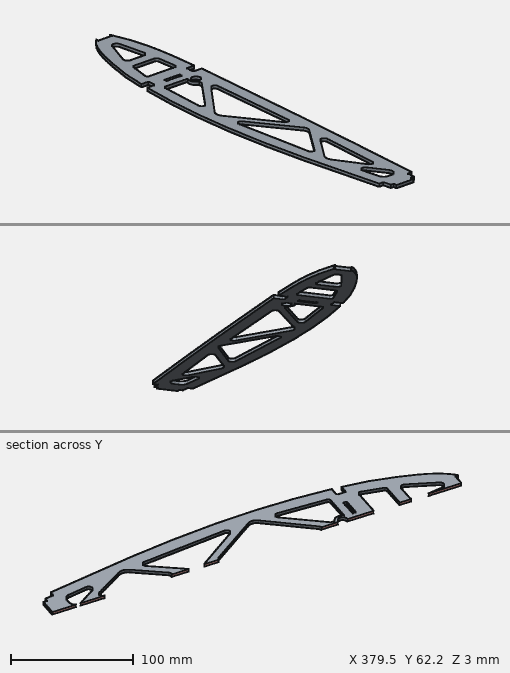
import cadquery as cq
import math

LENGTH = 379.5
HEIGHT = 62.2
THICKNESS = 3.0

NOSE_X = 2.5
NOSE_LIP_TOP = 49.7
NOSE_TOP = 50.5
NOSE_LIP_BOTTOM = 35.0
NOSE_BOTTOM = 32.3

NOTCH_LEFT = 91.5
NOTCH_RIGHT = 100.0
UPPER_NOTCH_FLOOR = 53.0
LOWER_NOTCH_FLOOR = 12.0
NOTCH_RADIUS = 1.5

TAIL_STEP_X = 368.0
TAIL_TAB_X = 376.0
TAIL_TOP = 56.5
TAIL_BOTTOM = 21.3
TAIL_STEP_TOP = 52.0
TAIL_STEP_BOTTOM = 25.8
TAIL_TAB_TOP = 48.5
TAIL_TAB_BOTTOM = 30.0
TAIL_SLOPE_RISE = 1.0

UPPER_NOSE = [(NOSE_X, NOSE_TOP), (22.5, 56.0), (48.5, 60.0), (NOTCH_LEFT, 61.5)]
UPPER_BODY = [(NOTCH_RIGHT, HEIGHT), (212.5, 60.7), (TAIL_STEP_X, TAIL_TOP)]
LOWER_NOSE = [(NOSE_X, NOSE_BOTTOM), (19.0, 22.5), (33.8, 17.0), (57.5, 10.2), (NOTCH_LEFT, 4.5)]
LOWER_BODY = [(NOTCH_RIGHT, 3.5), (161.3, 0.0), (208.7, 1.0), (299.5, 10.5), (TAIL_STEP_X, TAIL_BOTTOM)]

HOLE_CENTER = (112.0, 45.5)
HOLE_RADIUS = 4.0
HOLE_WALL = 2.5

SLOT_LEFT = 97.0
SLOT_RIGHT = 100.2
SLOT_BOTTOM = 24.3
SLOT_TOP = 40.5

NOSE_WINDOW = [(5.5, 41.7, 3.8), (49.5, 48.0, 3.8), (49.5, 23.5, 3.8)]
FRONT_WINDOW = [(59.5, 48.5, 2.3), (83.5, 49.7, 2.3), (83.5, 17.0, 2.3), (59.5, 22.5, 2.3)]
HOLE_WINDOW = [(107.8, 43.3, 0), (122.0, 43.3, 2.3), (164.5, 11.5, 3.0), (107.8, 14.5, 2.3)]
TRUSS_WINDOWS = [
    [(125.5, 49.5, 3.0), (232.5, 48.5, 3.0), (177.2, 10.0, 7.5)],
    [(192.0, 11.8, 3.0), (246.7, 50.5, 6.5), (289.5, 21.0, 3.0)],
    [(262.3, 48.2, 3.0), (341.5, 45.0, 3.0), (301.7, 20.5, 8.5)],
]
TAIL_WINDOW = [(323.7, 25.8, 3.5), (361.5, 51.0, 5.7), (361.5, 32.0, 5.7)]


def make_profile():
    """Outer profile of the rib, drawn clockwise from the upper nose lip."""
    return (
        cq.Workplane("XY")
        .moveTo(0, NOSE_LIP_TOP)
        .lineTo(*UPPER_NOSE[0])
        .spline(UPPER_NOSE[1:], includeCurrent=True)
        .lineTo(NOTCH_LEFT, UPPER_NOTCH_FLOOR)
        .lineTo(NOTCH_RIGHT - NOTCH_RADIUS, UPPER_NOTCH_FLOOR)
        .radiusArc((NOTCH_RIGHT, UPPER_NOTCH_FLOOR + NOTCH_RADIUS), -NOTCH_RADIUS)
        .lineTo(*UPPER_BODY[0])
        .spline(UPPER_BODY[1:], includeCurrent=True)
        .lineTo(TAIL_STEP_X, TAIL_STEP_TOP)
        .lineTo(TAIL_TAB_X, TAIL_STEP_TOP)
        .lineTo(TAIL_TAB_X, TAIL_TAB_TOP)
        .lineTo(LENGTH, TAIL_TAB_TOP)
        .lineTo(LENGTH, TAIL_TAB_BOTTOM)
        .lineTo(TAIL_TAB_X, TAIL_TAB_BOTTOM)
        .lineTo(TAIL_TAB_X, TAIL_STEP_BOTTOM + TAIL_SLOPE_RISE)
        .lineTo(TAIL_STEP_X, TAIL_STEP_BOTTOM)
        .lineTo(*LOWER_BODY[-1])
        .spline(LOWER_BODY[-2::-1], includeCurrent=True)
        .lineTo(NOTCH_RIGHT, LOWER_NOTCH_FLOOR - NOTCH_RADIUS)
        .radiusArc((NOTCH_RIGHT - NOTCH_RADIUS, LOWER_NOTCH_FLOOR), -NOTCH_RADIUS)
        .lineTo(NOTCH_LEFT, LOWER_NOTCH_FLOOR)
        .lineTo(*LOWER_NOSE[-1])
        .spline(LOWER_NOSE[-2::-1], includeCurrent=True)
        .lineTo(0, NOSE_LIP_BOTTOM)
        .lineTo(NOSE_X, NOSE_LIP_BOTTOM)
        .lineTo(NOSE_X, NOSE_LIP_TOP)
        .close()
        .extrude(THICKNESS)
    )


def rounded_corner(previous, corner, following):
    """Start, middle and end of the arc that rounds one corner."""
    x, y, radius = corner
    to_previous = math.atan2(previous[1] - y, previous[0] - x)
    to_following = math.atan2(following[1] - y, following[0] - x)
    opening = math.remainder(to_following - to_previous, math.tau)
    half_angle = abs(opening) / 2
    bisector = to_previous + opening / 2
    tangent_length = radius / math.tan(half_angle)
    middle_length = radius / math.sin(half_angle) - radius
    polar = [(tangent_length, to_previous), (middle_length, bisector), (tangent_length, to_following)]
    return [(x + r * math.cos(angle), y + r * math.sin(angle)) for r, angle in polar]


def make_window(corners):
    """Solid filling a polygonal window with rounded corners."""
    count = len(corners)
    arcs = [
        rounded_corner(corners[i - 1], corners[i], corners[(i + 1) % count])
        for i in range(count)
    ]
    outline = cq.Workplane("XY").moveTo(*arcs[0][-1])
    for corner, arc in zip(corners[1:] + corners[:1], arcs[1:] + arcs[:1]):
        outline = outline.lineTo(*arc[0])
        if corner[2] > 0:
            outline = outline.threePointArc(arc[1], arc[2])
    return outline.close().extrude(THICKNESS)


def make_disc(radius):
    """Disc centred on the round hole."""
    return cq.Workplane("XY").center(*HOLE_CENTER).circle(radius).extrude(THICKNESS)


def make_slot():
    """Rectangular block filling the narrow slot."""
    return (
        cq.Workplane("XY")
        .moveTo(SLOT_LEFT, SLOT_BOTTOM)
        .lineTo(SLOT_RIGHT, SLOT_BOTTOM)
        .lineTo(SLOT_RIGHT, SLOT_TOP)
        .lineTo(SLOT_LEFT, SLOT_TOP)
        .close()
        .extrude(THICKNESS)
    )


result = make_profile()
for window in [NOSE_WINDOW, FRONT_WINDOW, *TRUSS_WINDOWS, TAIL_WINDOW]:
    result = result.cut(make_window(window))

result = result.cut(make_window(HOLE_WINDOW).cut(make_disc(HOLE_RADIUS + HOLE_WALL)))
result = result.cut(make_disc(HOLE_RADIUS))
result = result.cut(make_slot())